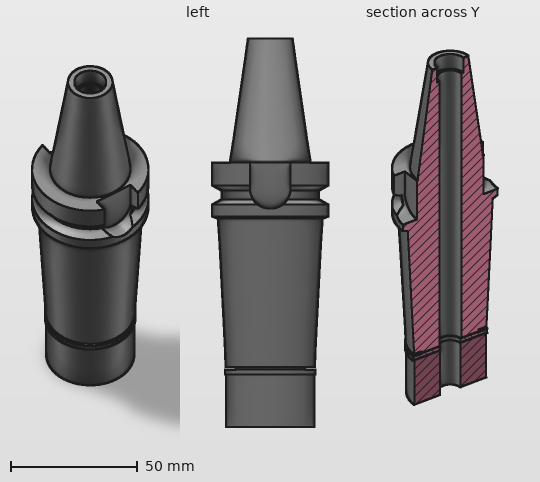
import cadquery as cq

TOTAL_HEIGHT = 153.4
NUT_HEIGHT = 20.7
RING_HEIGHT = 2.0
GAP_HEIGHT = 0.9
SLEEVE_HEIGHT = 58.6

NUT_RADIUS = 17.5
RING_RADIUS = 18.0
NECK_RADIUS = 13.8

SLEEVE_BOTTOM_RADIUS = 17.6
SLEEVE_TOP_RADIUS = 20.7

FLANGE_RADIUS = 23.0
GROOVE_RADIUS = 19.2
FLANGE_CHAMFER_HEIGHT = 0.9
LOWER_RIM_HEIGHT = 4.6
GROOVE_SIDE_HEIGHT = 2.1
GROOVE_FLOOR_HEIGHT = 3.4
UPPER_RIM_HEIGHT = 8.9

TAPER_RATIO = 7 / 24
GAUGE_DIAMETER = 31.8
COLLAR_HEIGHT = 0.8

SLOT_WIDTH = 16.1
SLOT_FLOOR_X = 16.3
SLOT_DEPTH_Z = 18.1

HOLDER_BORE_RADIUS = 5.2
COUNTERBORE_RADIUS = 6.3
COUNTERBORE_DEPTH = 6.9
NUT_BORE_RADIUS = 4.9

ring_top = NUT_HEIGHT + RING_HEIGHT
sleeve_bottom = ring_top + GAP_HEIGHT
sleeve_top = sleeve_bottom + SLEEVE_HEIGHT
lower_rim_bottom = sleeve_top + FLANGE_CHAMFER_HEIGHT
lower_rim_top = lower_rim_bottom + LOWER_RIM_HEIGHT
groove_floor_bottom = lower_rim_top + GROOVE_SIDE_HEIGHT
groove_floor_top = groove_floor_bottom + GROOVE_FLOOR_HEIGHT
upper_rim_bottom = groove_floor_top + GROOVE_SIDE_HEIGHT
flange_top = upper_rim_bottom + UPPER_RIM_HEIGHT
gauge_level = flange_top + COLLAR_HEIGHT
gauge_radius = GAUGE_DIAMETER / 2
taper_tip_radius = gauge_radius - (TOTAL_HEIGHT - gauge_level) * TAPER_RATIO / 2


def turned_blank():
    """Revolved outline of the holder: neck, sleeve, grooved flange and taper."""
    outline = [
        (0, ring_top),
        (NECK_RADIUS, ring_top),
        (NECK_RADIUS, sleeve_bottom),
        (SLEEVE_BOTTOM_RADIUS, sleeve_bottom),
        (SLEEVE_TOP_RADIUS, sleeve_top),
        (FLANGE_RADIUS, lower_rim_bottom),
        (FLANGE_RADIUS, lower_rim_top),
        (GROOVE_RADIUS, groove_floor_bottom),
        (GROOVE_RADIUS, groove_floor_top),
        (FLANGE_RADIUS, upper_rim_bottom),
        (FLANGE_RADIUS, flange_top),
        (gauge_radius, flange_top),
        (gauge_radius, gauge_level),
        (taper_tip_radius, TOTAL_HEIGHT),
        (0, TOTAL_HEIGHT),
    ]
    return cq.Workplane("XZ").polyline(outline).close().revolve(360, (0, 0), (0, 1))


def drive_slot(side):
    """Cutter for one drive slot; side is -1 for the -X slot and +1 for the +X slot."""
    half_width = SLOT_WIDTH / 2
    slot_bottom = flange_top - SLOT_DEPTH_Z
    return (
        cq.Workplane("YZ", origin=(side * SLOT_FLOOR_X, 0, 0))
        .moveTo(-half_width, flange_top)
        .lineTo(-half_width, slot_bottom + half_width)
        .threePointArc((0, slot_bottom), (half_width, slot_bottom + half_width))
        .lineTo(half_width, flange_top)
        .close()
        .extrude(side * (FLANGE_RADIUS - SLOT_FLOOR_X))
    )


def make_holder():
    """Tool holder with taper, slotted flange, sleeve and counterbored through bore."""
    body = turned_blank()
    for side in (-1, 1):
        body = body.cut(drive_slot(side))
    bore = cq.Workplane("XY").circle(HOLDER_BORE_RADIUS).extrude(TOTAL_HEIGHT)
    counterbore = (
        cq.Workplane("XY", origin=(0, 0, TOTAL_HEIGHT))
        .circle(COUNTERBORE_RADIUS)
        .extrude(-COUNTERBORE_DEPTH)
    )
    return body.cut(bore).cut(counterbore)


def bored_disc(radius, bottom, height):
    """Plain disc on the holder axis, with the narrower bore through it."""
    return cq.Workplane("XY", origin=(0, 0, bottom)).circle(radius).circle(NUT_BORE_RADIUS).extrude(height)


def make_ring():
    """Thin ring between the neck and the nut."""
    return bored_disc(RING_RADIUS, NUT_HEIGHT, RING_HEIGHT)


def make_nut():
    """Cylindrical clamping nut at the bottom end."""
    return bored_disc(NUT_RADIUS, 0, NUT_HEIGHT)


holder = make_holder()
ring = make_ring()
nut = make_nut()

result = cq.Compound.makeCompound([holder.val(), ring.val(), nut.val()])